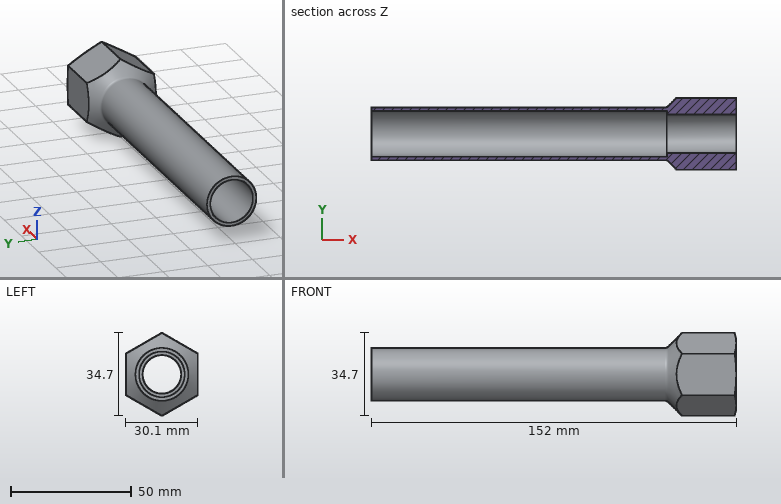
import cadquery as cq
import math

total_length = 152.0
hex_corner_radius = 34.7 / 2

tube_radius = 22.0 / 2
tube_bore_radius = 19.0 / 2
through_bore_radius = 16.0 / 2

hex_start = 129.4
cone_start = hex_start - (hex_corner_radius - tube_radius)
neck_fillet_radius = 2.0
end_face_radius = 14.5
end_chamfer_depth = 0.8


def x_cylinder(radius, length):
    return cq.Workplane("YZ").circle(radius).extrude(length)


def make_envelope():
    """Round envelope: tube, filleted neck, cone and chamfered end."""
    half_turn = math.radians(45) / 2
    tangent_length = neck_fillet_radius * math.tan(half_turn)
    fillet_start_x = cone_start - tangent_length
    arc_center_r = tube_radius + neck_fillet_radius

    def arc_point(angle):
        return (
            fillet_start_x + neck_fillet_radius * math.sin(angle),
            arc_center_r - neck_fillet_radius * math.cos(angle),
        )

    return (
        cq.Workplane("XY")
        .moveTo(0, 0)
        .lineTo(0, tube_radius)
        .lineTo(fillet_start_x, tube_radius)
        .threePointArc(arc_point(half_turn), arc_point(2 * half_turn))
        .lineTo(hex_start, hex_corner_radius)
        .lineTo(total_length - end_chamfer_depth, hex_corner_radius)
        .lineTo(total_length, end_face_radius)
        .lineTo(total_length, 0)
        .close()
        .revolve(360, (0, 0, 0), (1, 0, 0))
    )


def make_hex_bar():
    """Full-length hexagonal bar with corners at +Z and -Z."""
    corners = []
    for i in range(6):
        angle = math.radians(90 + 60 * i)
        corners.append((hex_corner_radius * math.cos(angle), hex_corner_radius * math.sin(angle)))
    return cq.Workplane("YZ").polyline(corners).close().extrude(total_length)


body = make_envelope().intersect(make_hex_bar())

tube_bore = x_cylinder(tube_bore_radius, cone_start)
through_bore = x_cylinder(through_bore_radius, total_length)
result = body.cut(tube_bore).cut(through_bore)